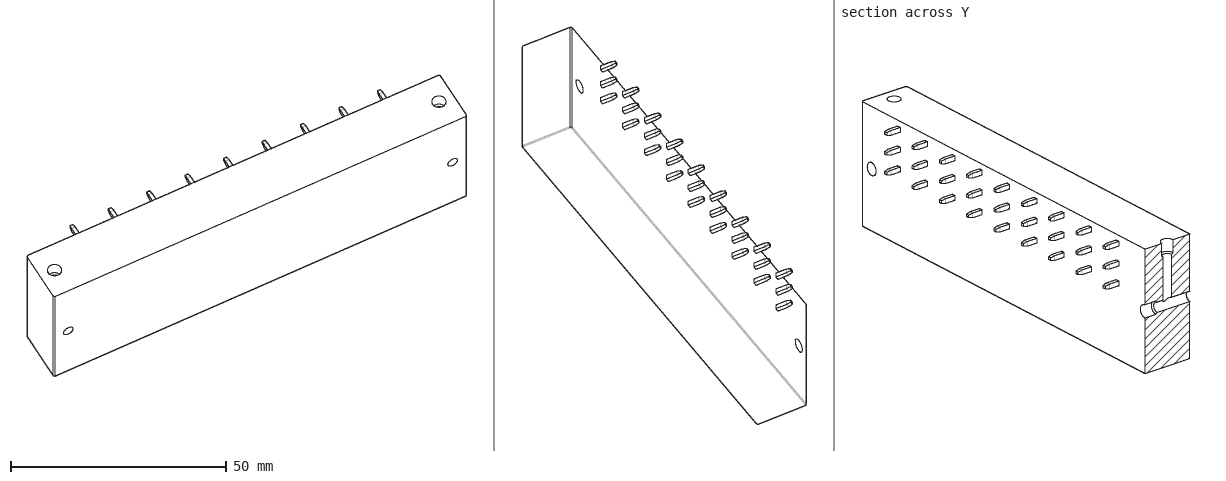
import cadquery as cq

LENGTH = 109.2
HEIGHT = 32.0
DEPTH = 13.4
EDGE_CHAMFER = 0.3
BOTTOM_FILLET = 0.2

PIN_LENGTH = 3.9
PIN_WIDTH = 1.0
PIN_HEIGHT = 1.2
PIN_TIP_WIDTH = 0.8
PIN_TIP_HEIGHT = 0.7
PIN_TIP_LENGTH = 1.1
PIN_COLUMNS = 9
PIN_ROWS = 3
COLUMN_PITCH = 10.2
ROW_PITCH = COLUMN_PITCH / 2
LOWEST_ROW_HEIGHT = 3.7

HOLE_SPACING = 10 * COLUMN_PITCH
HOLE_DIAMETER = 2.5
BORE_DIAMETER = 3.3
BORE_DEPTH = 3.3

half_depth = DEPTH / 2
half_height = HEIGHT / 2


def make_housing():
    """Block with chamfered vertical edges and rounded bottom edges; the top edges stay sharp."""
    block = cq.Workplane("XY").box(DEPTH, LENGTH, HEIGHT)
    chamfered = block.edges("|Z").chamfer(EDGE_CHAMFER)
    return chamfered.faces("<Z").edges().fillet(BOTTOM_FILLET)


def stepped_hole(mouth, depth):
    """Hole cut inward from its mouth: a wide bore, a 45 degree cone, then a narrow hole."""
    bore_radius = BORE_DIAMETER / 2
    hole_radius = HOLE_DIAMETER / 2
    cone_end = BORE_DEPTH + bore_radius - hole_radius
    half_profile = (
        cq.Workplane(mouth)
        .lineTo(bore_radius, 0)
        .lineTo(bore_radius, -BORE_DEPTH)
        .lineTo(hole_radius, -cone_end)
        .lineTo(hole_radius, -depth)
        .lineTo(0, -depth)
        .close()
    )
    return half_profile.revolve(360, (0, 0), (0, 1))


def make_mounting_holes(y):
    """A through hole from the -X face, met at its axis by a hole from the top face."""
    side_mouth = cq.Plane(origin=(-half_depth, y, 0), xDir=(0, 1, 0), normal=(0, 0, 1))
    top_mouth = cq.Plane(origin=(0, y, half_height), xDir=(1, 0, 0), normal=(0, -1, 0))
    return stepped_hole(side_mouth, DEPTH).union(stepped_hole(top_mouth, half_height))


def make_pin(y, z):
    """Rectangular pin standing out of the -X face, with a tapered tip."""
    shank_length = PIN_LENGTH - PIN_TIP_LENGTH
    root = cq.Plane(origin=(-half_depth, y, z), xDir=(0, 1, 0), normal=(-1, 0, 0))
    shank = cq.Workplane(root).rect(PIN_WIDTH, PIN_HEIGHT).extrude(shank_length)
    tip = (
        shank.faces("<X")
        .workplane()
        .rect(PIN_WIDTH, PIN_HEIGHT)
        .workplane(offset=PIN_TIP_LENGTH)
        .rect(PIN_TIP_WIDTH, PIN_TIP_HEIGHT)
        .loft(combine=False)
    )
    return shank.union(tip)


result = make_housing()
for end in (-1, 1):
    result = result.cut(make_mounting_holes(end * HOLE_SPACING / 2))

for column in range(PIN_COLUMNS):
    pin_y = (column - (PIN_COLUMNS - 1) / 2) * COLUMN_PITCH
    for row in range(PIN_ROWS):
        pin_z = LOWEST_ROW_HEIGHT + row * ROW_PITCH
        result = result.union(make_pin(pin_y, pin_z))